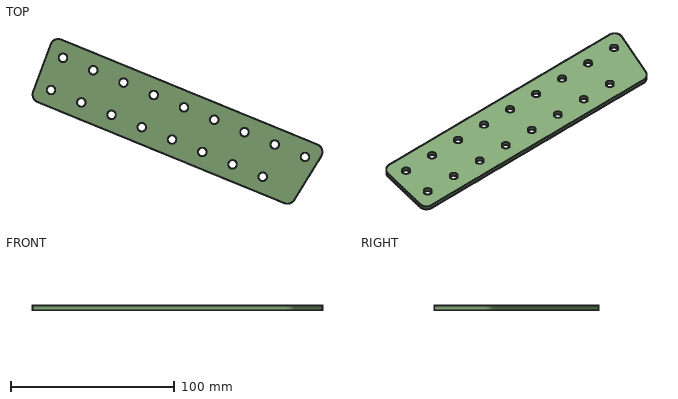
import cadquery as cq
import math

thickness = 3.17
corner_radius = 5.0
row_tilt = -22.275
near_end_lean = 1.9
far_end_lean = -9.4

hole_diameter = 5.1
hole_pitch = 20.0
upper_hole_count = 9
lower_hole_count = 8
row_spacing = 21.0
first_hole_x = -70.1
first_hole_y = 38.85

edge_margin = 10.0
far_end_margin = 8.3

last_hole_x = (upper_hole_count - 1) * hole_pitch
top_y = edge_margin
bottom_y = -row_spacing - edge_margin
bottom_z = -thickness / 2


def lean_shift(y, lean):
    """Shift along the rows of a leaning line at height y."""
    return -y * math.tan(math.radians(lean))


def near_end_x(y):
    offset = edge_margin / math.cos(math.radians(near_end_lean))
    return lean_shift(y, near_end_lean) - offset


def far_end_x(y):
    offset = far_end_margin / math.cos(math.radians(far_end_lean))
    return last_hole_x + lean_shift(y, far_end_lean) + offset


def make_plate():
    """Four-sided plate with rounded corners, centred on Z = 0."""
    corners = [
        (near_end_x(bottom_y), bottom_y),
        (far_end_x(bottom_y), bottom_y),
        (far_end_x(top_y), top_y),
        (near_end_x(top_y), top_y),
    ]
    plate = cq.Workplane("XY", origin=(0, 0, bottom_z)).polyline(corners).close().extrude(thickness)
    return plate.edges("|Z").fillet(corner_radius)


def row_points(start_x, y, count):
    return [(start_x + i * hole_pitch, y) for i in range(count)]


def drill_holes(plate):
    """Two rows of through holes; the first holes line up parallel to the -X end."""
    lower_start_x = lean_shift(-row_spacing, near_end_lean)
    upper_row = row_points(0, 0, upper_hole_count)
    lower_row = row_points(lower_start_x, -row_spacing, lower_hole_count)
    drills = (
        cq.Workplane("XY", origin=(0, 0, bottom_z))
        .pushPoints(upper_row + lower_row)
        .circle(hole_diameter / 2)
        .extrude(thickness)
    )
    return plate.cut(drills)


flat_plate = drill_holes(make_plate())
tilted_plate = flat_plate.rotate((0, 0, 0), (0, 0, 1), row_tilt)
result = tilted_plate.translate((first_hole_x, first_hole_y, 0))